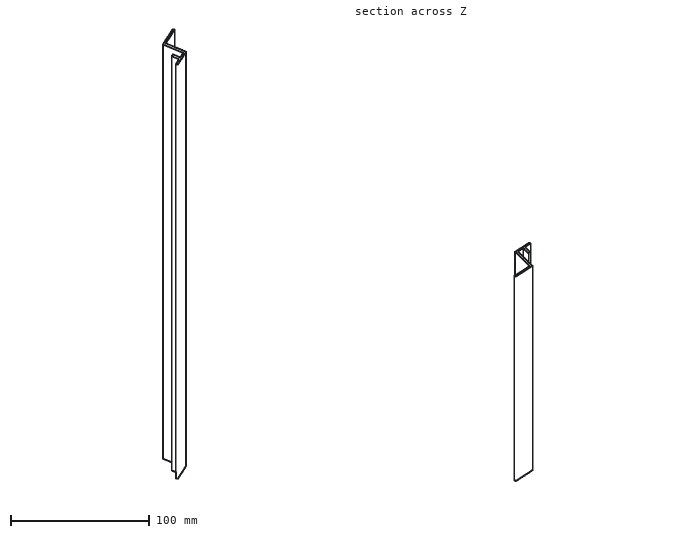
import cadquery as cq

length = 500.0
width = 18.0
depth = 27.5

leg_thickness = 1.5
shelf_thickness = 2.0
rear_leg_depth = 16.0
tip_radius = leg_thickness / 2

rib_reach = 6.0
rib_thickness = 2.0
rib_front_y = 5.0

shelf_front_y = depth - rear_leg_depth
shelf_back_y = shelf_front_y + shelf_thickness
front_leg_x = width - leg_thickness


def bar(x, y, size_x, size_y):
    """Full-length rectangular bar with its lowest XY corner at (x, y)."""
    return cq.Workplane("XY").box(size_x, size_y, length, centered=False).translate((x, y, 0))


rear_leg = bar(0, shelf_front_y, leg_thickness, rear_leg_depth)
rear_leg = rear_leg.faces(">Y").edges("<X").fillet(tip_radius)

front_leg = bar(front_leg_x, 0, leg_thickness, shelf_back_y)
front_leg = front_leg.faces("<Y").edges(">X").fillet(tip_radius)

shelf = bar(0, shelf_front_y, width, shelf_thickness)
rib = bar(front_leg_x - rib_reach, rib_front_y, rib_reach, rib_thickness)

result = rear_leg.union(shelf).union(front_leg).union(rib)